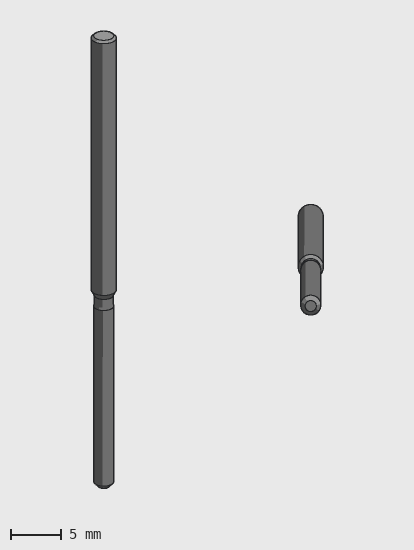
import cadquery as cq

total_length = 50.0
shank_diameter = 2.5
shank_bottom_z = 21.8
shank_top_chamfer = 0.25
neck_diameter = 1.9
neck_top_z = 21.2
cutter_diameter = 2.0
cutter_length = 20.0
collar_taper_height = 0.25
tip_diameter = 1.1
tip_taper_height = 0.5

shank_radius = shank_diameter / 2
neck_radius = neck_diameter / 2
cutter_radius = cutter_diameter / 2
tip_radius = tip_diameter / 2


def revolve_profile(points):
    """Revolve a closed (radius, height) outline about the Z axis."""
    return cq.Workplane("XZ").polyline(points).close().revolve(360, (0, 0), (0, 1))


def make_cutter():
    """Lower cylinder with a tapered tip."""
    return revolve_profile([
        (0, 0),
        (tip_radius, 0),
        (cutter_radius, tip_taper_height),
        (cutter_radius, cutter_length),
        (0, cutter_length),
    ])


def make_shank():
    """Chamfered upper shank with its taper, neck and collar resting on the cutter."""
    return revolve_profile([
        (0, cutter_length),
        (cutter_radius, cutter_length),
        (neck_radius, cutter_length + collar_taper_height),
        (neck_radius, neck_top_z),
        (shank_radius, shank_bottom_z),
        (shank_radius, total_length - shank_top_chamfer),
        (shank_radius - shank_top_chamfer, total_length),
        (0, total_length),
    ])


cutter = make_cutter()
shank = make_shank()

result = cq.Compound.makeCompound([cutter.val(), shank.val()])